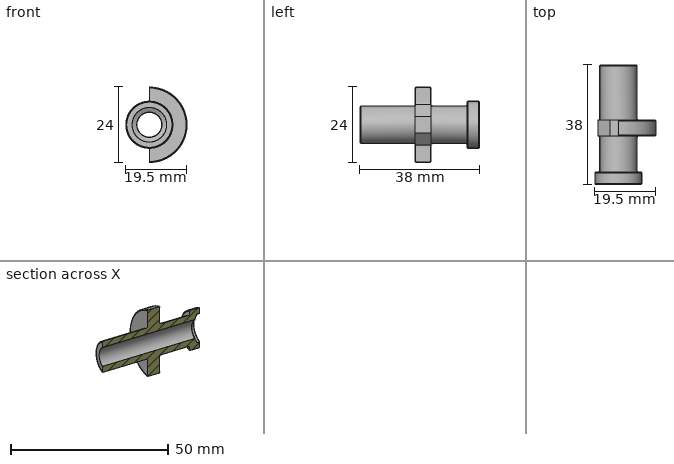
import cadquery as cq
import math

LENGTH = 38.0
BODY_R = 6.0
HEAD_R = 7.5
HEAD_LENGTH = 4.0
FLANGE_START = 15.5
FLANGE_WIDTH = 5.0
FLANGE_R = 12.0
OCTAGON_SIDES = 8
OCTAGON_APOTHEM = 6.5
BORE_R = 3.95
SOCKET_R = 5.5
SOCKET_DEPTH = 1.0
CONE_ANGLE = 120.0
EDGE_CHAMFER = 0.3
HEAD_FILLET = 0.3
FLANGE_BACK_FILLET = 0.3
STEP_FILLET = OCTAGON_APOTHEM - BODY_R

FLANGE_END = FLANGE_START + FLANGE_WIDTH
CONE_DEPTH = (SOCKET_R - BORE_R) / math.tan(math.radians(CONE_ANGLE / 2))


def cylinder(radius, start, end):
    """Solid cylinder about the Y axis between two Y positions."""
    plane = cq.Workplane("XZ", origin=(0, start, 0))
    return plane.circle(radius).extrude(start - end)


def octagon_collar():
    """Octagonal collar with flats square to X and Z."""
    half_angle = math.pi / OCTAGON_SIDES
    corner_r = OCTAGON_APOTHEM / math.cos(half_angle)
    corners = []
    for i in range(OCTAGON_SIDES):
        angle = (2 * i + 1) * half_angle
        corners.append((corner_r * math.cos(angle), corner_r * math.sin(angle)))
    plane = cq.Workplane("XZ", origin=(0, FLANGE_START, 0))
    return plane.polyline(corners).close().extrude(-FLANGE_WIDTH)


def half_flange():
    """Half disc on the +X side with chamfered rims."""
    disc = cylinder(FLANGE_R, FLANGE_START, FLANGE_END)
    disc = disc.edges("%CIRCLE").chamfer(EDGE_CHAMFER)
    keep = cq.Workplane("XY").box(FLANGE_R, LENGTH, 2 * FLANGE_R, centered=(False, False, True))
    return disc.intersect(keep)


def collar_with_flange():
    """Octagon and half disc joined, with fillets where the flat of the disc meets the octagon."""
    collar = octagon_collar().union(half_flange())
    for side in (1, -1):
        corner = cq.selectors.NearestToPointSelector(
            (0, (FLANGE_START + FLANGE_END) / 2, side * OCTAGON_APOTHEM)
        )
        collar = collar.edges("|Y").edges(corner).fillet(STEP_FILLET)
    return collar


def fillet_ring(face_y, size, direction):
    """Concave ring around the body that blends it into the face at face_y.

    direction is the Y sense, +1 or -1, in which the ring leans away from the face.
    """
    away = face_y + direction * size
    outer = BODY_R + size
    mid_offset = size * (1 - math.sqrt(0.5))
    profile = (
        cq.Workplane("XY")
        .moveTo(BORE_R, face_y)
        .lineTo(outer, face_y)
        .threePointArc((BODY_R + mid_offset, face_y + direction * mid_offset), (BODY_R, away))
        .lineTo(BORE_R, away)
        .close()
    )
    return profile.revolve(360, (0, 0, 0), (0, 1, 0))


def bore_cutter():
    """Through bore with a wider socket and a conical lead-in at the front."""
    cone_end = SOCKET_DEPTH + CONE_DEPTH
    profile = [
        (0, 0),
        (SOCKET_R, 0),
        (SOCKET_R, SOCKET_DEPTH),
        (BORE_R, cone_end),
        (BORE_R, LENGTH),
        (0, LENGTH),
    ]
    return cq.Workplane("XY").polyline(profile).close().revolve(360, (0, 0, 0), (0, 1, 0))


body = cylinder(BODY_R, 0, LENGTH).faces(">Y").edges().chamfer(EDGE_CHAMFER)
head = cylinder(HEAD_R, 0, HEAD_LENGTH).edges("%CIRCLE").chamfer(EDGE_CHAMFER)

result = body.union(head).union(collar_with_flange())
result = result.union(fillet_ring(HEAD_LENGTH, HEAD_FILLET, 1))
result = result.union(fillet_ring(FLANGE_START, STEP_FILLET, -1))
result = result.union(fillet_ring(FLANGE_END, FLANGE_BACK_FILLET, 1))
result = result.cut(bore_cutter())